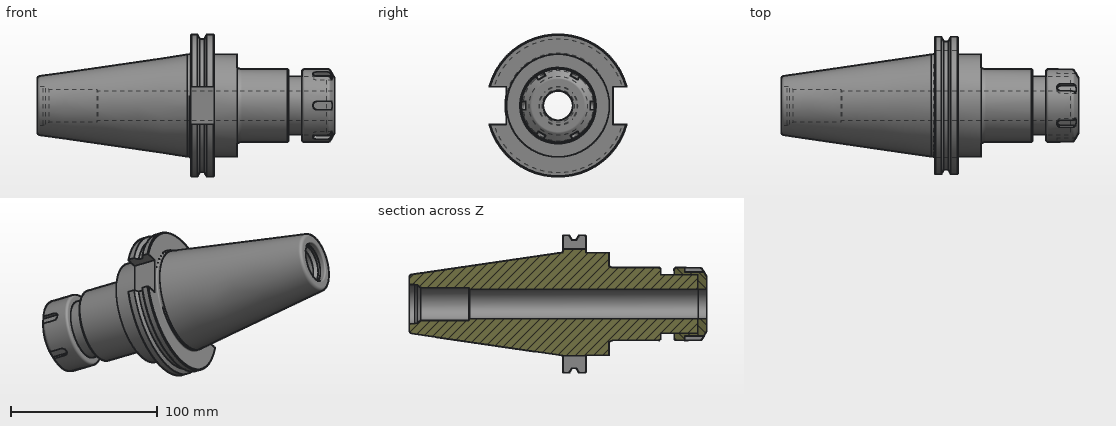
import cadquery as cq
import math


TOTAL_LENGTH = 203.2

TAPER_LENGTH = 102.5
TAPER_LARGE_DIAMETER = 70.0
TAPER_RATE = 7 / 24
TAPER_SMALL_DIAMETER = TAPER_LARGE_DIAMETER - TAPER_RATE * TAPER_LENGTH
TAPER_END_FILLET = 2.5
COLLAR_DIAMETER = 70.1
COLLAR_FILLET = 1.0

FLANGE_START = 104.9
FLANGE_THICKNESS = 15.9
FLANGE_END = FLANGE_START + FLANGE_THICKNESS
FLANGE_DIAMETER = 97.3
FLANGE_CHAMFER = 0.6
GROOVE_OFFSET = 7.7
GROOVE_WIDTH = 6.5
GROOVE_DEPTH = 3.0
GROOVE_HALF_ANGLE = 30.0

DRIVE_SLOT_WIDTH = 25.6
DRIVE_FLOOR_FRONT = 35.4
DRIVE_FLOOR_BACK = 37.5

SHOULDER_DIAMETER = 70.1
SHOULDER_END = 136.5
BARREL_DIAMETER = 50.0
BARREL_END = 171.7
BARREL_CHAMFER = 1.0
BARREL_FILLET_RADIUS = 5.0
BARREL_FILLET_LENGTH = 3.0
NECK_DIAMETER = 40.0

BORE_DIAMETER = 20.0
MOUTH_FILLET = 1.0
PILOT_DIAMETER = 26.6
PILOT_DEPTH = 3.9
RECESS_DIAMETER = 26.2
RECESS_END = 5.5
LEAD_IN_DIAMETER = 25.8
THREAD_DIAMETER = 22.2
THREAD_START = 8.1
THREAD_END = 40.6
DRILL_POINT_ANGLE = 60.0

NUT_START = 180.7
NUT_DIAMETER = 50.0
NUT_REAR_FILLET = 1.8
NUT_FRONT_FILLET = 2.2
NUT_CONE_ANGLE = 60.0
NUT_FACE_DIAMETER = 37.0
NUT_FACE_FILLET = 2.0
NUT_FRONT_WALL = 6.0

WRENCH_SLOT_COUNT = 6
WRENCH_SLOT_WIDTH = 5.7
WRENCH_SLOT_START = 188.2
WRENCH_SLOT_FLOOR = 22.0

NECK_END = TOTAL_LENGTH - NUT_FRONT_WALL


def revolve_about_x(profile):
    """Turn a closed profile, drawn as (x, radius), about the X axis."""
    return profile.close().revolve(360, (0, 0, 0), (1, 0, 0))


def holder_blank():
    """Turned outside of the holder, without its bore."""
    flange_radius = FLANGE_DIAMETER / 2
    barrel_radius = BARREL_DIAMETER / 2
    fillet_rise = BARREL_FILLET_RADIUS - math.sqrt(BARREL_FILLET_RADIUS**2 - BARREL_FILLET_LENGTH**2)
    blank = revolve_about_x(
        cq.Workplane("XY")
        .lineTo(0, TAPER_SMALL_DIAMETER / 2)
        .lineTo(TAPER_LENGTH, TAPER_LARGE_DIAMETER / 2)
        .lineTo(TAPER_LENGTH, COLLAR_DIAMETER / 2)
        .lineTo(FLANGE_START - COLLAR_FILLET, COLLAR_DIAMETER / 2)
        .radiusArc((FLANGE_START, COLLAR_DIAMETER / 2 + COLLAR_FILLET), -COLLAR_FILLET)
        .lineTo(FLANGE_START, flange_radius - FLANGE_CHAMFER)
        .lineTo(FLANGE_START + FLANGE_CHAMFER, flange_radius)
        .lineTo(FLANGE_END - FLANGE_CHAMFER, flange_radius)
        .lineTo(FLANGE_END, flange_radius - FLANGE_CHAMFER)
        .lineTo(FLANGE_END, SHOULDER_DIAMETER / 2)
        .lineTo(SHOULDER_END, SHOULDER_DIAMETER / 2)
        .lineTo(SHOULDER_END, barrel_radius + fillet_rise)
        .radiusArc((SHOULDER_END + BARREL_FILLET_LENGTH, barrel_radius), -BARREL_FILLET_RADIUS)
        .lineTo(BARREL_END - BARREL_CHAMFER, barrel_radius)
        .lineTo(BARREL_END, barrel_radius - BARREL_CHAMFER)
        .lineTo(BARREL_END, NECK_DIAMETER / 2)
        .lineTo(NECK_END, NECK_DIAMETER / 2)
        .lineTo(NECK_END, 0)
    )
    return blank.faces("<X").edges().fillet(TAPER_END_FILLET)


def flange_groove():
    """V-shaped gripper groove around the flange, with a flat bottom."""
    outer_radius = FLANGE_DIAMETER / 2
    middle = FLANGE_START + GROOVE_OFFSET
    half_width = GROOVE_WIDTH / 2
    half_floor = half_width - GROOVE_DEPTH * math.tan(math.radians(GROOVE_HALF_ANGLE))
    return revolve_about_x(
        cq.Workplane("XY")
        .moveTo(middle - half_width, outer_radius)
        .lineTo(middle - half_floor, outer_radius - GROOVE_DEPTH)
        .lineTo(middle + half_floor, outer_radius - GROOVE_DEPTH)
        .lineTo(middle + half_width, outer_radius)
    )


def drive_slot(side, floor):
    """Block that cuts one drive slot; side is -1 for -Y and +1 for +Y."""
    depth = FLANGE_DIAMETER / 2
    return cq.Workplane("XY").box(FLANGE_THICKNESS, depth, DRIVE_SLOT_WIDTH).translate(
        (FLANGE_START + FLANGE_THICKNESS / 2, side * (floor + depth / 2), 0)
    )


def holder_bore():
    """Through bore with a rounded mouth, a stepped pilot and a wider stretch for the thread."""
    drill_point_rise = (THREAD_DIAMETER - BORE_DIAMETER) / 2
    drill_point_length = drill_point_rise / math.tan(math.radians(DRILL_POINT_ANGLE))
    return revolve_about_x(
        cq.Workplane("XY")
        .lineTo(0, PILOT_DIAMETER / 2 + MOUTH_FILLET)
        .radiusArc((MOUTH_FILLET, PILOT_DIAMETER / 2), -MOUTH_FILLET)
        .lineTo(PILOT_DEPTH, PILOT_DIAMETER / 2)
        .lineTo(PILOT_DEPTH, RECESS_DIAMETER / 2)
        .lineTo(RECESS_END, RECESS_DIAMETER / 2)
        .lineTo(RECESS_END, LEAD_IN_DIAMETER / 2)
        .lineTo(THREAD_START, THREAD_DIAMETER / 2)
        .lineTo(THREAD_END, THREAD_DIAMETER / 2)
        .lineTo(THREAD_END + drill_point_length, BORE_DIAMETER / 2)
        .lineTo(NECK_END, BORE_DIAMETER / 2)
        .lineTo(NECK_END, 0)
    )


def make_holder():
    return (
        holder_blank()
        .cut(flange_groove())
        .cut(drive_slot(-1, DRIVE_FLOOR_FRONT))
        .cut(drive_slot(1, DRIVE_FLOOR_BACK))
        .cut(holder_bore())
    )


def nut_blank():
    """Turned nut with a socket for the holder's neck and an opening through its front wall."""
    nut_radius = NUT_DIAMETER / 2
    face_radius = NUT_FACE_DIAMETER / 2
    cone_start = TOTAL_LENGTH - (nut_radius - face_radius) / math.tan(math.radians(NUT_CONE_ANGLE))
    outside = revolve_about_x(
        cq.Workplane("XY")
        .moveTo(NUT_START, 0)
        .lineTo(NUT_START, nut_radius)
        .lineTo(cone_start, nut_radius)
        .lineTo(TOTAL_LENGTH, face_radius)
        .lineTo(TOTAL_LENGTH, 0)
    )
    cone_edge = cq.NearestToPointSelector((cone_start, 0, 0))
    outside = outside.faces("<X").edges().fillet(NUT_REAR_FILLET)
    outside = outside.faces(">X").edges().fillet(NUT_FACE_FILLET)
    outside = outside.edges("%CIRCLE").edges(cone_edge).fillet(NUT_FRONT_FILLET)
    socket_plane = cq.Workplane("YZ", origin=(NUT_START, 0, 0))
    socket = socket_plane.circle(NECK_DIAMETER / 2).extrude(NECK_END - NUT_START)
    opening_plane = cq.Workplane("YZ", origin=(NECK_END, 0, 0))
    opening = opening_plane.circle(BORE_DIAMETER / 2).extrude(NUT_FRONT_WALL)
    return outside.cut(socket).cut(opening)


def wrench_slot(angle):
    """Round-ended, flat-floored slot that runs out through the nut's front.

    The angle is turned about X, starting from -Y.
    """
    half_width = WRENCH_SLOT_WIDTH / 2
    straight_start = WRENCH_SLOT_START + half_width
    return (
        cq.Workplane("XZ", origin=(0, -WRENCH_SLOT_FLOOR, 0))
        .moveTo(TOTAL_LENGTH, half_width)
        .lineTo(straight_start, half_width)
        .threePointArc((WRENCH_SLOT_START, 0), (straight_start, -half_width))
        .lineTo(TOTAL_LENGTH, -half_width)
        .close()
        .extrude(NUT_DIAMETER / 2)
        .rotate((0, 0, 0), (1, 0, 0), angle)
    )


def make_nut():
    nut = nut_blank()
    for index in range(WRENCH_SLOT_COUNT):
        nut = nut.cut(wrench_slot(index * 360 / WRENCH_SLOT_COUNT))
    return nut


holder = make_holder()
nut = make_nut()
result = cq.Compound.makeCompound([holder.val(), nut.val()])